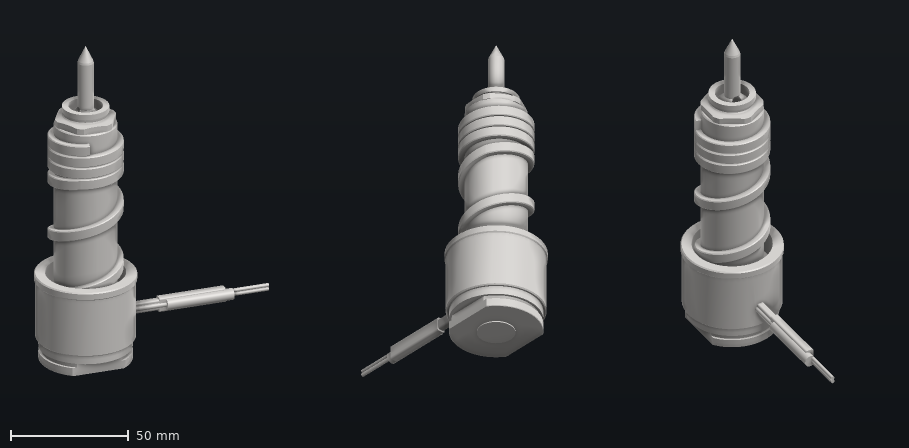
import cadquery as cq
import math


base_boss_radius = 8.25
base_boss_height = 0.5
base_radius = 20.15
base_flange_top = 4.3
base_neck_radius = 19.0
base_neck_top = 6.5
base_half_width = 16.2

housing_radius = 21.5
housing_bottom = 10.5
housing_top = 40.5
rim_radius = 22.0
rim_height = 3.6
bore_radius = 17.3
bore_floor = 29.0
edge_break = 0.5

body_radius = 13.55
body_top = 110.6
hex_half_width = 12.3
hex_corner_radius = 13.4
hex_side_top = 113.3
collar_radius = 10.1
collar_bottom = 114.3
collar_top = 118.5
groove_radius = 9.6
groove_bottom = 114.7
groove_top = 116.1

cup_radius = 7.4
cup_floor = 113.5
cone_top = 117.5
port_radius = 2.2
port_meeting_height = 109.5
port_angle = 32.0
port_length = 14.0

needle_radius = 3.5
needle_shoulder = 138.6
tip_base_radius = 3.25
tip_base = 139.5
tip_top = 146.3

strip_outer_radius = 16.25
strip_overlap = 0.2
strip_height = 4.75
strip_chamfer = 0.4
loose_pitch = 27.2
tight_pitch = 5.25
strip_start_height = 26.0
transition_start_angle = 211.5
transition_start_height = 83.2
transition_turn = 120.5
transition_rise = 5.2
tight_turn = 3 * 360.0 + 14.0

lead_height = 19.5
lead_start = 19.0
tube_radius = 2.55
tube_start = 36.5
tube_end = 66.7
tube_lead_radius = 1.1
cable_center = -1.5
cable_width = 3.3
cable_depth = 5.0
sleeve_start = 33.4
sleeve_end = 63.5
sleeve_width = 3.9
sleeve_depth = 6.6
lead_corner_radius = 0.85
wire_center = -1.4
wire_radius = 0.84
wire_offset = 0.88
wire_end = 83.5


def cylinder(radius, bottom, top):
    return cq.Workplane("XY").workplane(offset=bottom).circle(radius).extrude(top - bottom)


def make_base():
    boss = cylinder(base_boss_radius, 0, base_flange_top)
    flange = cylinder(base_radius, base_boss_height, base_flange_top).faces("<Z").chamfer(edge_break / 2)
    neck = cylinder(base_neck_radius, base_flange_top, base_neck_top)
    flats = cq.Workplane("XY").box(
        2 * base_half_width, 2 * base_radius, base_neck_top, centered=(True, True, False)
    )
    shoulder = cylinder(base_radius, base_neck_top, housing_bottom)
    return boss.union(flange).union(neck).intersect(flats).union(shoulder)


def make_housing():
    shell = cylinder(housing_radius, housing_bottom, housing_top).faces("<Z").chamfer(edge_break)
    rim = cylinder(rim_radius, housing_top - rim_height, housing_top).edges().chamfer(edge_break)
    bore = cylinder(bore_radius, bore_floor, housing_top)
    return shell.union(rim).cut(bore)


def make_hexagon():
    height = collar_bottom - body_top
    corner_diameter = 2 * hex_half_width / math.cos(math.pi / 6)
    prism = (
        cq.Workplane("XY")
        .workplane(offset=body_top)
        .transformed(rotate=(0, 0, 90))
        .polygon(6, corner_diameter)
        .extrude(height)
    )
    rounded_blank = (
        cq.Workplane("XZ")
        .polyline([
            (0, body_top),
            (hex_corner_radius, body_top),
            (hex_corner_radius, hex_side_top),
            (collar_radius, collar_bottom),
            (0, collar_bottom),
        ])
        .close()
        .revolve(360, (0, 0, 0), (0, 1, 0))
    )
    return prism.intersect(rounded_blank)


def make_collar():
    return (
        cq.Workplane("XZ")
        .polyline([
            (0, collar_bottom),
            (collar_radius, collar_bottom),
            (groove_radius, groove_bottom),
            (groove_radius, groove_top),
            (collar_radius, groove_top),
            (collar_radius, collar_top),
            (0, collar_top),
        ])
        .close()
        .revolve(360, (0, 0, 0), (0, 1, 0))
    )


def make_body():
    body = cylinder(body_radius, housing_bottom, body_top).faces(">Z").chamfer(edge_break)
    return body.union(make_hexagon()).union(make_collar())


def cup_space():
    """Ring-shaped space between the collar wall and the torpedo cone."""
    return (
        cq.Workplane("XZ")
        .polyline([
            (needle_radius, cone_top),
            (cup_radius, cup_floor),
            (cup_radius, collar_top),
            (0, collar_top),
            (0, cone_top),
        ])
        .close()
        .revolve(360, (0, 0, 0), (0, 1, 0))
    )


def angled_port(side):
    tilt = math.radians(port_angle)
    start = cq.Vector(0, 0, port_meeting_height)
    direction = cq.Vector(0, side * math.sin(tilt), math.cos(tilt))
    port = cq.Workplane(cq.Solid.makeCylinder(port_radius, port_length, start, direction))
    return port.intersect(cylinder(cup_radius, 0, collar_top))


def make_needle():
    return (
        cq.Workplane("XZ")
        .polyline([
            (0, port_meeting_height),
            (needle_radius, port_meeting_height),
            (needle_radius, needle_shoulder),
            (tip_base_radius, tip_base),
            (0, tip_top),
        ])
        .close()
        .revolve(360, (0, 0, 0), (0, 1, 0))
    )


def strip_section(pitch, turn, start_angle, start_height):
    """Right-hand helical stretch of the strip, turning by `turn` degrees."""
    inner_radius = body_radius - strip_overlap
    half_height = strip_height / 2
    path = cq.Wire.makeHelix(pitch, pitch * turn / 360.0, strip_outer_radius)
    stretch = (
        cq.Workplane("XZ")
        .polyline([
            (inner_radius, -half_height),
            (strip_outer_radius - strip_chamfer, -half_height),
            (strip_outer_radius, strip_chamfer - half_height),
            (strip_outer_radius, half_height - strip_chamfer),
            (strip_outer_radius - strip_chamfer, half_height),
            (inner_radius, half_height),
        ])
        .close()
        .sweep(cq.Workplane(path), isFrenet=True)
    )
    return stretch.rotate((0, 0, 0), (0, 0, 1), start_angle).translate((0, 0, start_height))


def make_strip():
    loose_turn = (transition_start_height - strip_start_height) / loose_pitch * 360.0
    tight_start_angle = transition_start_angle + transition_turn
    tight_start_height = transition_start_height + transition_rise
    transition_pitch = transition_rise / transition_turn * 360.0
    strip = strip_section(
        loose_pitch, loose_turn, transition_start_angle - loose_turn, strip_start_height
    )
    strip = strip.union(strip_section(
        transition_pitch, transition_turn, transition_start_angle, transition_start_height
    ))
    return strip.union(strip_section(
        tight_pitch, tight_turn, tight_start_angle, tight_start_height
    ))


def lead_plane(start, x):
    """Plane facing +Y, with its local Y axis along +Z."""
    return cq.Workplane(cq.Plane((x, start, lead_height), xDir=(-1, 0, 0), normal=(0, 1, 0)))


def round_lead(radius, start, end, x=0.0, rise=0.0):
    return lead_plane(start, x).center(0, rise).circle(radius).extrude(end - start)


def flat_lead(width, depth, start, end):
    bar = lead_plane(start, cable_center).rect(width, depth).extrude(end - start)
    return bar.edges("|Y").fillet(lead_corner_radius)


def make_leads():
    leads = flat_lead(cable_width, cable_depth, lead_start, sleeve_end)
    leads = leads.union(flat_lead(sleeve_width, sleeve_depth, sleeve_start, sleeve_end))
    leads = leads.union(round_lead(tube_radius, tube_start, tube_end))
    leads = leads.union(round_lead(tube_lead_radius, lead_start, tube_end))
    for side in (-1, 1):
        leads = leads.union(round_lead(wire_radius, sleeve_end, wire_end, wire_center, side * wire_offset))
    return leads


result = make_body().union(make_strip())
result = result.cut(cup_space())
result = result.union(make_needle())
for port_side in (-1, 1):
    result = result.cut(angled_port(port_side))
result = result.union(make_base().union(make_housing()))
result = result.union(make_leads())